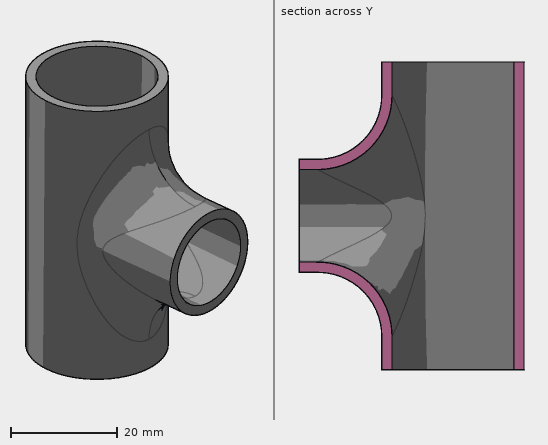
import cadquery as cq

run_length = 58.0
run_outer_radius = 13.45
wall = 2.0
run_inner_radius = run_outer_radius - wall

branch_reach = 29.0
branch_outer_radius = 10.7
branch_inner_radius = branch_outer_radius - wall

outer_blend_radius = 12.0
inner_blend_radius = outer_blend_radius + wall


def blended_tee(run_radius, branch_radius, blend_radius):
    """Solid tee whose run and branch meet in a rounded blend."""
    run = cq.Workplane("XY").circle(run_radius).extrude(run_length / 2, both=True)
    branch = cq.Workplane("YZ").circle(branch_radius).extrude(branch_reach)
    tee = run.union(branch)
    junction = cq.selectors.BoxSelector(
        (0, -run_radius, -branch_radius),
        (run_radius + wall, run_radius, branch_radius),
    )
    return tee.edges(junction).fillet(blend_radius)


body = blended_tee(run_outer_radius, branch_outer_radius, outer_blend_radius)
bore = blended_tee(run_inner_radius, branch_inner_radius, inner_blend_radius)
result = body.cut(bore)